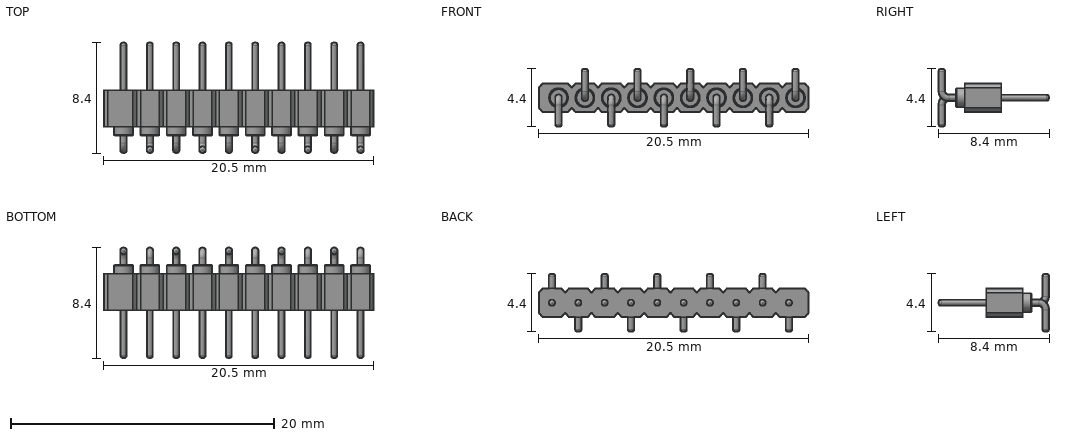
import cadquery as cq

pin_count = 10
body_length = 20.5
extra_pitches = 0.25
pitch = body_length / (pin_count + extra_pitches)
first_pin_x = (0.5 + extra_pitches) * pitch

overall_depth = 8.4
overall_height = 4.4

body_depth = 2.79
body_height = 2.2
notch_half_width = 0.29
notch_depth = 0.33

collar_diameter = 1.45
collar_length = 0.68
collar_edge = 0.08

tail_diameter = 0.47
tail_length = 3.63
tail_tip_radius = 0.2

lead_diameter = 0.51
bend_radius = 0.51
lead_reach = overall_depth - body_depth - tail_length
lead_tip_height = overall_height / 2
lead_tip_radius = 0.2


def make_body():
    """Bar with V-notches between positions and the same slope on all four end corners."""
    half_height = body_height / 2
    body = cq.Workplane("XZ").rect(body_length, body_height).extrude(-body_depth)
    body = body.translate((body_length / 2, 0, 0))
    notch_x = [0, body_length]
    for gap in range(pin_count - 1):
        notch_x.append(first_pin_x + (gap + 0.5) * pitch)
    for x in notch_x:
        for side in (-1, 1):
            notch = (
                cq.Workplane("XZ")
                .moveTo(x - notch_half_width, side * half_height)
                .lineTo(x, side * (half_height - notch_depth))
                .lineTo(x + notch_half_width, side * half_height)
                .close()
                .extrude(-body_depth)
            )
            body = body.cut(notch)
    return body


def make_collar():
    collar = cq.Workplane("XZ").circle(collar_diameter / 2).extrude(collar_length)
    return collar.faces("<Y").edges().chamfer(collar_edge)


def make_tail():
    tail = (
        cq.Workplane("XZ", origin=(0, body_depth, 0))
        .circle(tail_diameter / 2)
        .extrude(-tail_length)
    )
    return tail.faces(">Y").edges().fillet(tail_tip_radius)


def make_lead(direction):
    """Lead that leaves the collar and turns up (direction 1) or down (direction -1)."""
    axis_y = -(lead_reach - lead_diameter / 2)
    bend_start_y = axis_y + bend_radius
    path = (
        cq.Workplane("YZ")
        .moveTo(-collar_length, 0)
        .lineTo(bend_start_y, 0)
        .tangentArcPoint((axis_y, direction * bend_radius), relative=False)
        .lineTo(axis_y, direction * lead_tip_height)
    )
    lead = (
        cq.Workplane("XZ", origin=(0, -collar_length, 0))
        .circle(lead_diameter / 2)
        .sweep(path)
    )
    tip = ">Z" if direction > 0 else "<Z"
    return lead.faces(tip).edges().fillet(lead_tip_radius)


def make_pin(direction):
    return make_collar().union(make_lead(direction)).union(make_tail())


result = make_body()
for index in range(pin_count):
    bend_direction = -1 if index % 2 == 0 else 1
    position = (first_pin_x + index * pitch, 0, 0)
    result = result.union(make_pin(bend_direction).translate(position))